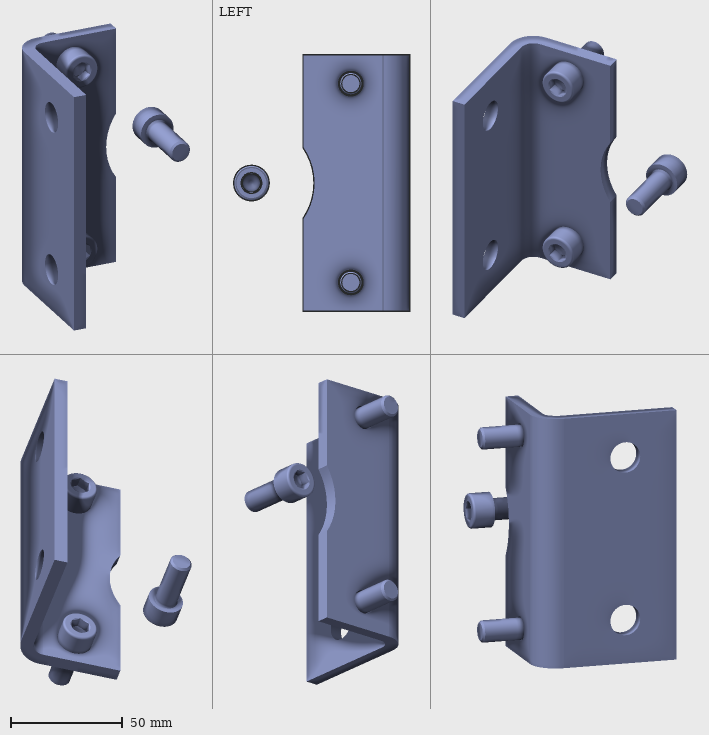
import cadquery as cq
import math


bracket_height = 115.0
thickness = 6.0
mounting_flange_length = 65.0
screw_flange_length = 48.0
bend_outer_radius = 2 * thickness
bend_inner_radius = bend_outer_radius - thickness

mounting_hole_diameter = 14.0
mounting_hole_x = mounting_flange_length - 24.0
mounting_hole_end_distance = 20.0

clearance_hole_diameter = 11.0
clamp_screw_y = 26.5
clamp_screw_end_distance = 13.0

loose_screw_y = 71.0
notch_radius = 28.0

shank_diameter = 10.0
shank_length = 25.0
tip_chamfer = 0.9
head_diameter = 16.0
head_height = shank_diameter
head_edge_radius = 1.0
neck_flare = 0.5
neck_length = 1.0
neck_arc_radius = (neck_length**2 + neck_flare**2) / (2 * neck_flare)
socket_width = 8.0
socket_corner_diameter = socket_width / math.cos(math.radians(30))
socket_depth = head_height / 2
socket_cone_angle = 120.0
socket_cone_height = socket_width / 2 / math.tan(math.radians(socket_cone_angle / 2))
clamp_screw_roll = 30.0

mounting_hole_offset = bracket_height / 2 - mounting_hole_end_distance
clamp_screw_offset = bracket_height / 2 - clamp_screw_end_distance


def make_bracket():
    """Bent plate with mounting holes, screw clearance holes and an edge notch."""
    plate = (
        cq.Workplane("XY")
        .moveTo(0, screw_flange_length)
        .lineTo(0, bend_outer_radius)
        .radiusArc((bend_outer_radius, 0), -bend_outer_radius)
        .lineTo(mounting_flange_length, 0)
        .lineTo(mounting_flange_length, thickness)
        .lineTo(bend_outer_radius, thickness)
        .radiusArc((thickness, bend_outer_radius), bend_inner_radius)
        .lineTo(thickness, screw_flange_length)
        .close()
        .extrude(bracket_height / 2, both=True)
    )
    mounting_holes = (
        cq.Workplane("XZ")
        .pushPoints([(mounting_hole_x, side * mounting_hole_offset) for side in (-1, 1)])
        .circle(mounting_hole_diameter / 2)
        .extrude(-thickness)
    )
    clearance_holes = (
        cq.Workplane("YZ")
        .pushPoints([(clamp_screw_y, side * clamp_screw_offset) for side in (-1, 1)])
        .circle(clearance_hole_diameter / 2)
        .extrude(thickness)
    )
    notch = cq.Workplane("YZ").center(loose_screw_y, 0).circle(notch_radius).extrude(thickness)
    return plate.cut(mounting_holes).cut(clearance_holes).cut(notch)


def make_socket():
    """Hexagonal recess with a conical floor and a countersunk mouth, opening at -X."""
    mouth_radius = socket_corner_diameter / 2
    mouth_cone_height = mouth_radius / math.tan(math.radians(socket_cone_angle / 2))
    hexagon = (
        cq.Workplane("YZ", origin=(-head_height, 0, 0))
        .polygon(6, socket_corner_diameter)
        .extrude(socket_depth)
    )
    floor_cone = cq.Workplane(
        cq.Solid.makeCone(
            socket_width / 2, 0, socket_cone_height,
            cq.Vector(socket_depth - head_height, 0, 0), cq.Vector(1, 0, 0),
        )
    )
    mouth_cone = cq.Workplane(
        cq.Solid.makeCone(
            mouth_radius, 0, mouth_cone_height,
            cq.Vector(-head_height, 0, 0), cq.Vector(1, 0, 0),
        )
    )
    return hexagon.union(floor_cone).union(mouth_cone)


def make_screw():
    """Cap screw along X: seat of the head at X = 0, shank toward +X."""
    shank_radius = shank_diameter / 2
    head_radius = head_diameter / 2
    turned_body = (
        cq.Workplane("XY")
        .moveTo(-head_height, 0)
        .lineTo(-head_height, head_radius - head_edge_radius)
        .radiusArc((-head_height + head_edge_radius, head_radius), head_edge_radius)
        .lineTo(0, head_radius)
        .lineTo(0, shank_radius + neck_flare)
        .radiusArc((neck_length, shank_radius), -neck_arc_radius)
        .lineTo(shank_length - tip_chamfer, shank_radius)
        .lineTo(shank_length, shank_radius - tip_chamfer)
        .lineTo(shank_length, 0)
        .close()
        .revolve(360, (0, 0, 0), (1, 0, 0))
    )
    return turned_body.cut(make_socket())


def make_clamp_screw(z):
    """Screw seated on the inner face of the screw flange, its shank toward -X."""
    return (
        make_screw()
        .rotate((0, 0, 0), (1, 0, 0), clamp_screw_roll)
        .rotate((0, 0, 0), (0, 0, 1), 180)
        .translate((thickness, clamp_screw_y, z))
    )


bracket = make_bracket()
clamp_screws = [make_clamp_screw(side * clamp_screw_offset) for side in (-1, 1)]
loose_screw = make_screw().translate((0, loose_screw_y, 0))

result = cq.Compound.makeCompound(
    [bracket.val(), *[screw.val() for screw in clamp_screws], loose_screw.val()]
)